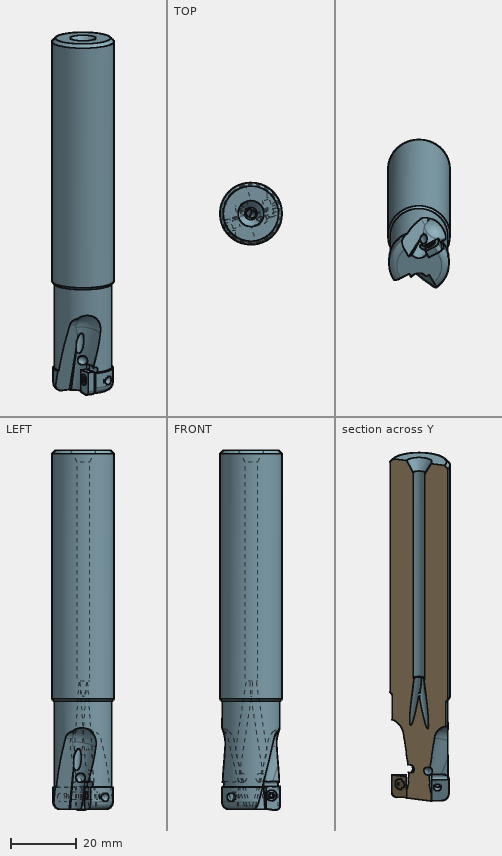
import cadquery as cq

TOTAL_LENGTH = 110.0
SHANK_DIAMETER = 19.0
TOP_CHAMFER = 1.1
SHANK_BOTTOM = 34.0
NECK_TOP = 33.2
NECK_RADIUS = 8.85
HEAD_TOP = 7.1
HEAD_STEP_HEIGHT = 0.2
HEAD_RADIUS = 9.18
HEAD_BOTTOM = 0.2
HEAD_BOTTOM_FILLET = 2.3

MOUTH_DIAMETER = 7.9
MOUTH_DEPTH = 3.6
BORE_DIAMETER = 3.7
BORE_BOTTOM = 39.6
BRANCH_DIAMETER = 2.3
BRANCH_TOP_RISE = 2.2
BRANCH_EXIT = cq.Vector(4.0, -1.6, 16.3)
BRANCH_OVERRUN = 1.3

FLOOR_X = 7.0
FLOOR_Y = -5.4
FLOOR_Z = 22.0
FLOOR_ROLL = 20.0
FLOOR_SLOPE = 14.8
FLOOR_LEAN = 6.0
FLOOR_SIZE = 44.0
FLOOR_INNER_WIDTH = 3.6
RUN_OUT_RADIUS = 3.3

CHANNEL_TOP = cq.Vector(10.0, -0.4, 20.3)
CHANNEL_TOP_RADIUS = 5.0
CHANNEL_BOTTOM = cq.Vector(3.0, -3.6, -2.2)
CHANNEL_BOTTOM_RADIUS = 2.3

CUTTING_RADIUS = 8.9
INSERT_TILT = 20.0

INSERT_WIDTH = 4.5
INSERT_HEIGHT = 7.3
INSERT_THICKNESS = 2.2
INSERT_NOSE_RADIUS = 1.4
INSERT_END_RISE = 0.4

SEAT_TOP = 7.9
CORNER_RELIEF_RADIUS = 0.8
TOP_RELIEF_RADIUS = 0.9
END_RELIEF_RADIUS = 1.4
END_RELIEF_START_X = 2.9
END_RELIEF_Y = -0.8
END_RELIEF_Z = 9.9

SCREW_X = -2.7
SCREW_Z = 4.5
SCREW_HEAD_DIAMETER = 3.3
SCREW_HEAD_HEIGHT = 1.1
SCREW_DIAMETER = 2.2
SCREW_LENGTH = 5.5
LOBE_COUNT = 6
LOBE_DIAMETER = 0.5
LOBE_CIRCLE_DIAMETER = 1.3
SOCKET_DEPTH = 0.8

BACK_HOLE_X = 6.0
BACK_HOLE_Z = 4.0
BACK_HOLE_DIAMETER = 2.5
BACK_HOLE_FLOOR_Y = 5.1

OPPOSITE = 180.0
FULL_TURN = 360.0
OVERRUN = 11.0
OUTWARD = cq.Vector(1, 0, 0)


def turned_about_z(shape, angle):
    return shape.rotate((0, 0, 0), (0, 0, 1), angle)


def box_between(low, high):
    size = [b - a for a, b in zip(low, high)]
    return cq.Workplane("XY").box(*size, centered=False).translate(low)


def make_blank():
    shank_radius = SHANK_DIAMETER / 2
    profile = (
        cq.Workplane("XZ")
        .moveTo(0, HEAD_BOTTOM)
        .lineTo(HEAD_RADIUS - HEAD_BOTTOM_FILLET, HEAD_BOTTOM)
        .radiusArc((HEAD_RADIUS, HEAD_BOTTOM + HEAD_BOTTOM_FILLET), -HEAD_BOTTOM_FILLET)
        .lineTo(HEAD_RADIUS, HEAD_TOP - HEAD_STEP_HEIGHT)
        .lineTo(NECK_RADIUS, HEAD_TOP)
        .lineTo(NECK_RADIUS, NECK_TOP)
        .lineTo(shank_radius, SHANK_BOTTOM)
        .lineTo(shank_radius, TOTAL_LENGTH - TOP_CHAMFER)
        .lineTo(shank_radius - TOP_CHAMFER, TOTAL_LENGTH)
        .lineTo(0, TOTAL_LENGTH)
        .close()
    )
    return profile.revolve(FULL_TURN, (0, 0, 0), (0, 1, 0))


def make_coolant_bore():
    profile = (
        cq.Workplane("XZ")
        .moveTo(0, BORE_BOTTOM)
        .lineTo(BORE_DIAMETER / 2, BORE_BOTTOM)
        .lineTo(BORE_DIAMETER / 2, TOTAL_LENGTH - MOUTH_DEPTH)
        .lineTo(MOUTH_DIAMETER / 2, TOTAL_LENGTH)
        .lineTo(0, TOTAL_LENGTH)
        .close()
    )
    return profile.revolve(FULL_TURN, (0, 0, 0), (0, 1, 0))


def make_coolant_branch():
    start = cq.Vector(0, 0, BORE_BOTTOM + BRANCH_TOP_RISE)
    run = BRANCH_EXIT - start
    return cq.Workplane(
        cq.Solid.makeCylinder(BRANCH_DIAMETER / 2, run.Length * BRANCH_OVERRUN, start, run)
    )


def make_flute_floor():
    """Cutter that leaves a floor facing +X, sloped towards the axis at the bottom."""
    low = (0, -FLOOR_SIZE, -FLOOR_SIZE)
    high = (FLOOR_SIZE, FLOOR_INNER_WIDTH, RUN_OUT_RADIUS)
    cutter = box_between(low, high).edges("<X and >Z").fillet(RUN_OUT_RADIUS)
    cutter = turned_about_z(cutter, FLOOR_ROLL)
    cutter = cutter.rotate((0, 0, 0), (0, 1, 0), FLOOR_SLOPE)
    cutter = cutter.rotate((0, 0, 0), (1, 0, 0), -FLOOR_LEAN)
    return cutter.translate((FLOOR_X, FLOOR_Y, FLOOR_Z))


def make_channel_section(center, radius, axis):
    """U-shaped section, round towards the tool axis and open outwards."""
    plane = cq.Plane(origin=center.toTuple(), xDir=OUTWARD.cross(axis).toTuple(), normal=axis.toTuple())
    outline = (
        cq.Workplane(plane)
        .moveTo(radius, OVERRUN)
        .lineTo(radius, 0)
        .threePointArc((0, -radius), (-radius, 0))
        .lineTo(-radius, OVERRUN)
        .close()
    )
    return outline.val()


def make_flute_channel():
    axis = CHANNEL_TOP - CHANNEL_BOTTOM
    sections = [
        make_channel_section(CHANNEL_BOTTOM, CHANNEL_BOTTOM_RADIUS, axis),
        make_channel_section(CHANNEL_TOP, CHANNEL_TOP_RADIUS, axis),
    ]
    groove = cq.Workplane(cq.Solid.makeLoft(sections, True))
    ball = cq.Workplane("XY").sphere(CHANNEL_TOP_RADIUS).translate(CHANNEL_TOP)
    return groove.union(ball)


def placed_at_cutting_edge(shape):
    return turned_about_z(shape, INSERT_TILT).translate((CUTTING_RADIUS, 0, 0))


def make_seat():
    pocket = box_between((-INSERT_WIDTH, -OVERRUN, -OVERRUN), (OVERRUN, INSERT_THICKNESS, SEAT_TOP))
    corner_relief = (
        cq.Workplane("XY", origin=(-INSERT_WIDTH, 0, 0))
        .circle(CORNER_RELIEF_RADIUS)
        .extrude(SEAT_TOP)
    )
    top_relief = (
        cq.Workplane("YZ", origin=(-INSERT_WIDTH, INSERT_THICKNESS, SEAT_TOP))
        .circle(TOP_RELIEF_RADIUS)
        .extrude(OVERRUN)
    )
    return placed_at_cutting_edge(pocket.union(corner_relief).union(top_relief))


def make_end_relief():
    start = (END_RELIEF_START_X, END_RELIEF_Y, END_RELIEF_Z)
    groove = cq.Workplane("YZ", origin=start).circle(END_RELIEF_RADIUS).extrude(OVERRUN)
    ball = cq.Workplane("XY").sphere(END_RELIEF_RADIUS).translate(start)
    return groove.union(ball)


def make_back_hole():
    return (
        cq.Workplane("XZ", origin=(BACK_HOLE_X, BACK_HOLE_FLOOR_Y, BACK_HOLE_Z))
        .circle(BACK_HOLE_DIAMETER / 2)
        .extrude(-OVERRUN)
    )


def make_screw_blank():
    face = cq.Workplane("XZ", origin=(SCREW_X, 0, SCREW_Z))
    head = face.circle(SCREW_HEAD_DIAMETER / 2).extrude(-SCREW_HEAD_HEIGHT)
    return head.union(face.circle(SCREW_DIAMETER / 2).extrude(-SCREW_LENGTH))


def make_socket():
    face = cq.Workplane("XZ", origin=(SCREW_X, 0, SCREW_Z))
    core = face.circle(LOBE_CIRCLE_DIAMETER / 2).extrude(-SOCKET_DEPTH)
    lobes = (
        face.polarArray(LOBE_CIRCLE_DIAMETER / 2, 0, FULL_TURN, LOBE_COUNT)
        .circle(LOBE_DIAMETER / 2)
        .extrude(-SOCKET_DEPTH)
    )
    return core.union(lobes)


def make_holder():
    holder = make_blank().cut(make_coolant_bore())
    screw_hole = placed_at_cutting_edge(make_screw_blank())
    side_cuts = [
        make_flute_floor(),
        make_flute_channel(),
        make_seat(),
        make_end_relief(),
        screw_hole,
        make_back_hole(),
        make_coolant_branch(),
    ]
    for angle in (0, OPPOSITE):
        for side_cut in side_cuts:
            holder = holder.cut(turned_about_z(side_cut, angle))
    return holder


def make_insert():
    plate = (
        cq.Workplane("XZ")
        .moveTo(-INSERT_WIDTH, INSERT_END_RISE)
        .lineTo(-INSERT_NOSE_RADIUS, 0)
        .radiusArc((0, INSERT_NOSE_RADIUS), -INSERT_NOSE_RADIUS)
        .lineTo(0, INSERT_HEIGHT)
        .lineTo(-INSERT_WIDTH, INSERT_HEIGHT)
        .close()
        .extrude(-INSERT_THICKNESS)
    )
    return placed_at_cutting_edge(plate.cut(make_screw_blank()))


def make_screw():
    return placed_at_cutting_edge(make_screw_blank().cut(make_socket()))


holder = make_holder()
insert = make_insert()
screw = make_screw()
result = cq.Compound.makeCompound([body.solids().val() for body in (holder, insert, screw)])